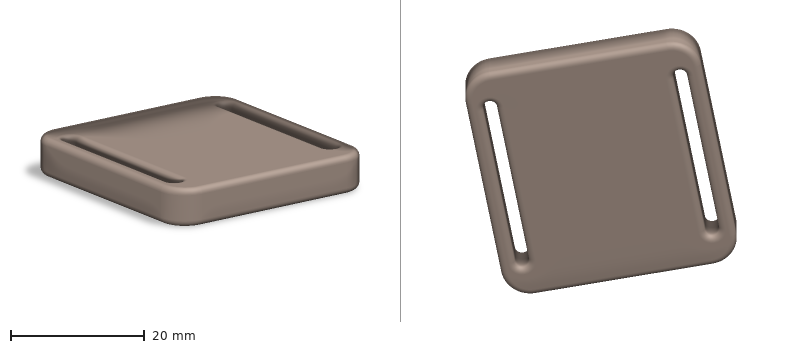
import cadquery as cq

length = 37.8
width = 35.8
thickness = 6.0
corner_radius = 4.4
edge_radius = 1.0

slot_width = 2.1
slot_length = 28.27
slot_offset = 14.48


def rounded_plate():
    """Plate with rounded corners, centred on the origin."""
    plate = cq.Workplane("XY").box(length, width, thickness)
    return plate.edges("|Z").fillet(corner_radius)


def strap_slots():
    """Cutters for the two through slots."""
    return (
        cq.Workplane("XY")
        .pushPoints([(0, -slot_offset), (0, slot_offset)])
        .slot2D(slot_length, slot_width)
        .extrude(thickness, both=True)
    )


result = rounded_plate().cut(strap_slots()).faces("|Z").edges().fillet(edge_radius)